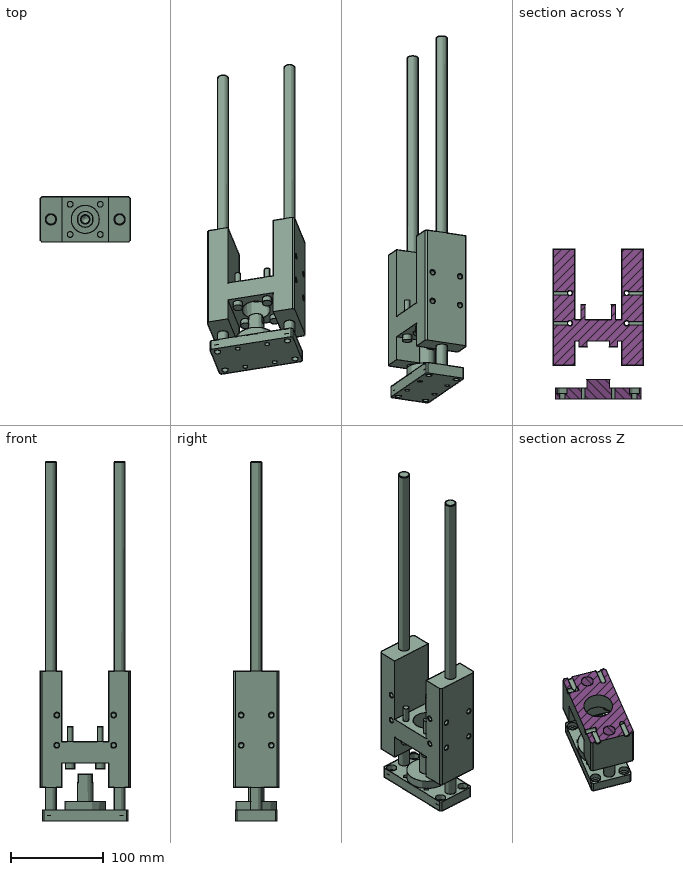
import cadquery as cq
import math

TOTAL_HEIGHT = 387.0
HOUSING_WIDTH = 97.0
HOUSING_DEPTH = 49.0
HOUSING_HEIGHT = 125.0
HOUSING_BOTTOM = 36.5
HOUSING_CORNER_CHAMFER = 2.0

ARM_GAP = 50.5
BRIDGE_BOTTOM = 62.5
BRIDGE_HEIGHT = 23.2
BRIDGE_BORE_DIA = 30.0

ROD_DIA = 12.0
ROD_PITCH = 74.0
ROD_END_CHAMFER = 0.8

SCREW_PITCH = 32.5
SCREW_DIA = 6.0
SCREW_HEAD_DIA = 10.0
SCREW_HEAD_HEIGHT = 6.0
SCREW_TIP = 101.8

TAP_DIA = 5.0
TAP_MOUTH_DIA = 6.0
FRONT_TAP_DEPTH = 12.0
SIDE_TAP_DEPTH = 17.8
TAP_PITCH = SCREW_PITCH
TAP_LOWEST = 81.5
FRONT_TAP_SPACING = 61.0
DRILL_POINT_ANGLE = 118.0
FLAT_END_ANGLE = 180.0

PLATE_WIDTH = 92.0
PLATE_DEPTH = 45.0
PLATE_THICKNESS = 12.0
PLATE_CORNER_CHAMFER = 1.75
DISC_DIA = 44.0
DISC_THICKNESS = 9.3
HUB_DIA = 17.0
HUB_TOP = 50.7
HUB_FLAT_WIDTH = 15.0
HUB_FLAT_LENGTH = 9.3
HUB_BORE_DIA = 9.0
HUB_BORE_MOUTH_DIA = 10.0
HUB_BORE_DEPTH = 20.0
CORNER_HOLE_DIA = 6.5
COUNTERBORE_DIA = 11.0
COUNTERBORE_DEPTH = 6.0
CORNER_HOLE_PITCH_X = 77.8
CORNER_HOLE_PITCH_Y = 32.5
DISC_EDGE_HOLE_DIA = 5.0

rod_xs = (-ROD_PITCH / 2, ROD_PITCH / 2)
housing_top = HOUSING_BOTTOM + HOUSING_HEIGHT
bridge_top = BRIDGE_BOTTOM + BRIDGE_HEIGHT
disc_top = PLATE_THICKNESS + DISC_THICKNESS


def block(width, depth, bottom, height):
    return cq.Workplane("XY", origin=(0, 0, bottom)).box(width, depth, height, centered=(True, True, False))


def cylinder(diameter, bottom, top, x=0.0, y=0.0):
    return cq.Workplane("XY", origin=(x, y, bottom)).circle(diameter / 2).extrude(top - bottom)


def corners(pitch_x, pitch_y):
    return [(sx * pitch_x / 2, sy * pitch_y / 2) for sx in (-1, 1) for sy in (-1, 1)]


def blind_hole(mouth, direction, diameter, mouth_diameter, depth, point_angle):
    """Hole along an axis direction, with a chamfered mouth and a conical end (flat at 180 degrees)."""
    radius = diameter / 2
    mouth_radius = mouth_diameter / 2
    point_length = radius / math.tan(math.radians(point_angle / 2))
    profile = (
        cq.Workplane("XZ")
        .moveTo(0, 0)
        .lineTo(mouth_radius, 0)
        .lineTo(radius, mouth_radius - radius)
        .lineTo(radius, depth)
        .lineTo(0, depth + point_length)
        .close()
        .revolve(360, (0, 0), (0, 1))
    )
    perpendicular = (direction[1], direction[2], direction[0])
    plane = cq.Plane(origin=mouth, xDir=perpendicular, normal=direction)
    return cq.Workplane(profile.val().moved(cq.Location(plane)))


def tap_hole(mouth, direction, depth, point_angle):
    return blind_hole(mouth, direction, TAP_DIA, TAP_MOUTH_DIA, depth, point_angle)


def housing_tap_holes():
    holes = []
    for z in (TAP_LOWEST, TAP_LOWEST + TAP_PITCH):
        for side in (-1, 1):
            front_mouth = (side * FRONT_TAP_SPACING / 2, -HOUSING_DEPTH / 2, z)
            holes.append(tap_hole(front_mouth, (0, 1, 0), FRONT_TAP_DEPTH, FLAT_END_ANGLE))
            for y in (-TAP_PITCH / 2, TAP_PITCH / 2):
                side_mouth = (side * HOUSING_WIDTH / 2, y, z)
                holes.append(tap_hole(side_mouth, (-side, 0, 0), SIDE_TAP_DEPTH, DRILL_POINT_ANGLE))
    return holes


def make_housing():
    """H-shaped guide housing with its screws, bored for the rods."""
    body = block(HOUSING_WIDTH, HOUSING_DEPTH, HOUSING_BOTTOM, HOUSING_HEIGHT)
    body = body.edges("|Z").chamfer(HOUSING_CORNER_CHAMFER)
    body = body.cut(block(ARM_GAP, HOUSING_DEPTH, HOUSING_BOTTOM, BRIDGE_BOTTOM - HOUSING_BOTTOM))
    body = body.cut(block(ARM_GAP, HOUSING_DEPTH, bridge_top, housing_top - bridge_top))
    body = body.cut(cylinder(BRIDGE_BORE_DIA, BRIDGE_BOTTOM, bridge_top))
    for x in rod_xs:
        body = body.cut(cylinder(ROD_DIA, HOUSING_BOTTOM, housing_top, x))
    for hole in housing_tap_holes():
        body = body.cut(hole)
    for x, y in corners(SCREW_PITCH, SCREW_PITCH):
        body = body.union(cylinder(SCREW_HEAD_DIA, BRIDGE_BOTTOM - SCREW_HEAD_HEIGHT, BRIDGE_BOTTOM, x, y))
        body = body.union(cylinder(SCREW_DIA, BRIDGE_BOTTOM, SCREW_TIP, x, y))
    return body


def make_hub():
    """Round coupling hub with two wrench flats and a blind bore at the top."""
    hub = cylinder(HUB_DIA, disc_top, HUB_TOP)
    flat_bottom = HUB_TOP - HUB_FLAT_LENGTH
    waste = block(HUB_DIA, HUB_DIA, flat_bottom, HUB_FLAT_LENGTH)
    waste = waste.cut(block(HUB_FLAT_WIDTH, HUB_DIA, flat_bottom, HUB_FLAT_LENGTH))
    hub = hub.cut(waste)
    mouth = (0, 0, HUB_TOP)
    down = (0, 0, -1)
    bore = blind_hole(mouth, down, HUB_BORE_DIA, HUB_BORE_MOUTH_DIA, HUB_BORE_DEPTH, DRILL_POINT_ANGLE)
    return hub.cut(bore)


def make_slide():
    """Moving part: base plate, disc, hub and the two guide rods."""
    body = block(PLATE_WIDTH, PLATE_DEPTH, 0, PLATE_THICKNESS)
    body = body.edges("|Z").chamfer(PLATE_CORNER_CHAMFER)
    for x, y in corners(CORNER_HOLE_PITCH_X, CORNER_HOLE_PITCH_Y):
        body = body.cut(cylinder(CORNER_HOLE_DIA, 0, PLATE_THICKNESS, x, y))
        body = body.cut(cylinder(COUNTERBORE_DIA, PLATE_THICKNESS - COUNTERBORE_DEPTH, PLATE_THICKNESS, x, y))
    for x, y in corners(SCREW_PITCH, SCREW_PITCH):
        body = body.cut(cylinder(DISC_EDGE_HOLE_DIA, 0, PLATE_THICKNESS, x, y))
    body = body.union(cylinder(DISC_DIA, PLATE_THICKNESS, disc_top))
    body = body.union(make_hub())
    for x in rod_xs:
        rod = cylinder(ROD_DIA, 0, TOTAL_HEIGHT, x).faces(">Z").chamfer(ROD_END_CHAMFER)
        body = body.union(rod)
    return body


housing = make_housing()
slide = make_slide()
result = cq.Compound.makeCompound([housing.val(), slide.val()])